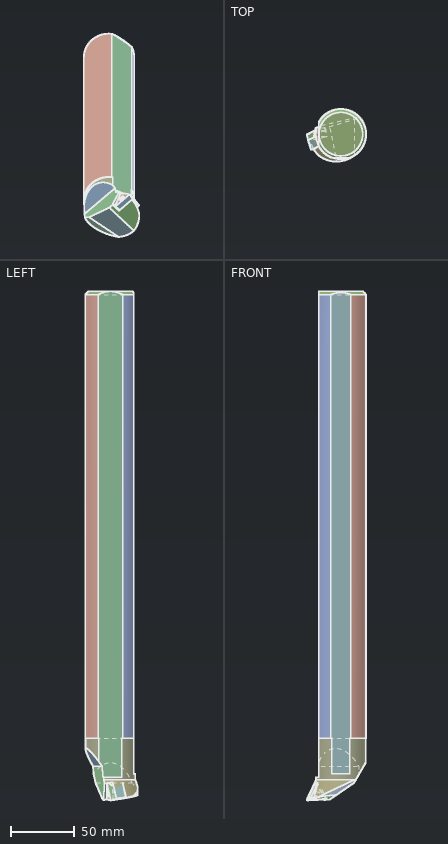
import cadquery as cq
import math


bar_radius = 20.0
neck_radius = 19.7
bar_top = 401.5
neck_top = 49.0
end_chamfer = 2.8
side_flat = 17.5
front_flat = 18.4
side_flat_end = 18.5
front_flat_end = 21.0

flare_top = 16.5
flare_radius = 25.2
rim_radius = 22.4
rim_x = -3.5
rim_y = 0.7

tip_x = -26.88
nose_radius = 0.8
inscribed_diameter = 9.525
insert_thickness = 4.76
insert_hole = 3.81
end_edge_angle = 3.0
rake_per_x = 0.20
rake_per_z = 0.14
seat_depth = 8.0
seat_taper = 6.0
seat_overhang = 4.0

heel_start = (-9.8, 0.0)
heel_end = (10.5, 14.0)
back_top_z = 30.5

chip_skew_per_x = 0.23
chip_at_foot = 7.9
chip_bend_z = 27.0
chip_lower_slope = 0.09
chip_upper_slope = 0.66

reach = 100.0


def flat_cut(direction_x, direction_y, distance, bottom, top):
    """Box that planes a flat on the bar at the given distance from its axis."""
    box = cq.Workplane("XY").box(reach, reach, top - bottom, centered=(True, True, False))
    shift = distance + reach / 2
    return box.translate((direction_x * shift, direction_y * shift, bottom))


rake_normal = cq.Vector(-rake_per_x, 1, -rake_per_z).normalized()
nose_x = tip_x + nose_radius * math.sqrt(1 - rake_normal.x**2)
nose_z = nose_radius * math.sqrt(1 - rake_normal.z**2)
rake_plane = cq.Plane(
    origin=(nose_x, 0, nose_z),
    xDir=(1, rake_per_x, 0),
    normal=(-rake_normal).toTuple(),
)
corner_angle = 60.0
core_edge = (inscribed_diameter - 2 * nose_radius) * math.sqrt(3)


def triangle(start, depth, edge=core_edge, taper=0):
    """Rounded triangular prism aligned with the insert, from `start` below the rake face."""
    low = math.radians(end_edge_angle)
    high = math.radians(end_edge_angle + corner_angle)
    corners = [
        (0, 0),
        (edge * math.cos(low), edge * math.sin(low)),
        (edge * math.cos(high), edge * math.sin(high)),
    ]
    outline = cq.Workplane(rake_plane).workplane(offset=start).polyline(corners).close()
    return outline.offset2D(nose_radius).extrude(depth, taper=taper)


def end_relief():
    """Everything below the lower flank of the insert, cut along the insert's axis."""
    slope = math.tan(math.radians(end_edge_angle))
    floor = -nose_radius / math.cos(math.radians(end_edge_angle))
    points = [
        (-reach, floor - reach * slope),
        (reach, floor + reach * slope),
        (reach, -reach),
        (-reach, -reach),
    ]
    sketch = cq.Workplane(rake_plane).workplane(offset=-reach / 2)
    return sketch.polyline(points).close().extrude(reach)


def back_relief():
    """Heel and back cuts, straight along Y, on the +X side of the head."""
    points = [heel_start, heel_end, (bar_radius, back_top_z), (reach, back_top_z), (reach, heel_start[1])]
    return cq.Workplane("XZ").polyline(points).close().extrude(reach / 2, both=True)


def chip_cut():
    """Skewed, bent chip face on the +Y side of the head."""
    foot = chip_at_foot
    bend = foot + chip_bend_z * chip_lower_slope
    top_z = chip_bend_z + (reach - bend) / chip_upper_slope
    below = foot - reach * chip_lower_slope
    points = [(below, -reach), (bend, chip_bend_z), (reach, top_z), (reach, -reach)]
    wedge = cq.Workplane("YZ").polyline(points).close().extrude(reach, both=True)
    skew = math.degrees(math.atan(chip_skew_per_x))
    return wedge.rotate((0, 0, 0), (0, 0, 1), skew)


def make_holder():
    shank = (
        cq.Workplane("XY", origin=(0, 0, neck_top))
        .circle(bar_radius)
        .extrude(bar_top - neck_top)
        .faces(">Z")
        .chamfer(end_chamfer)
    )
    neck = cq.Workplane("XY", origin=(0, 0, flare_top)).circle(neck_radius).extrude(neck_top - flare_top)
    body = shank.union(neck)
    body = body.cut(flat_cut(-1, 0, side_flat, side_flat_end, bar_top))
    body = body.cut(flat_cut(0, -1, front_flat, front_flat_end, bar_top))
    foot = cq.Workplane("XY").circle(flare_radius).workplane(offset=flare_top).circle(neck_radius).loft()
    rim = cq.Workplane("XY").center(rim_x, rim_y).circle(rim_radius).extrude(flare_top)
    foot = foot.intersect(rim)
    body = body.union(foot)
    body = body.cut(chip_cut())
    body = body.union(triangle(insert_thickness, seat_depth, core_edge + seat_overhang, seat_taper))
    body = body.cut(end_relief()).cut(back_relief())
    return body.cut(triangle(-reach / 2, reach / 2 + insert_thickness))


def make_insert():
    to_centre = core_edge / math.sqrt(3)
    bisector = math.radians(end_edge_angle + corner_angle / 2)
    hole = (
        cq.Workplane(rake_plane)
        .center(to_centre * math.cos(bisector), to_centre * math.sin(bisector))
        .circle(insert_hole / 2)
        .extrude(insert_thickness)
    )
    return triangle(0, insert_thickness).cut(hole)


holder = make_holder()
insert = make_insert()
result = cq.Compound.makeCompound([holder.val(), insert.val()])